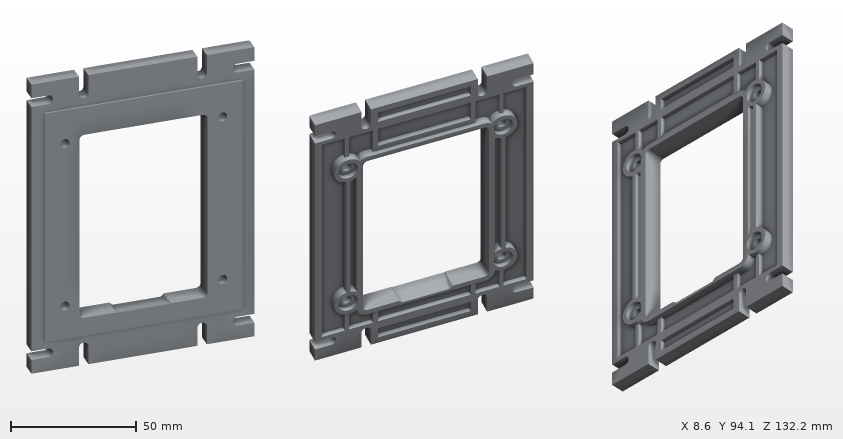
import cadquery as cq

plate_width = 94.1
plate_height = 132.19
plate_thickness = 6.0

raised_height = 1.8
back_pad_thickness = 0.8
back_pad_width = 83.5
back_pad_height = 104.5

window_half_width = 27.0
window_top = 39.6
window_bottom = -44.1
window_radius = 2.0

rim_side_width = 2.65
rim_end_width = 2.35
rim_radius = 4.4

boss_y = 33.3
boss_z = 37.15
boss_diameter = 12.1
counterbore_diameter = 8.3
counterbore_depth = 2.0
screw_hole_diameter = 4.0
bar_width = 1.75

slot_width = 4.0
side_slot_z = 57.85
side_slot_depth = 9.1
end_slot_y = 25.0
end_slot_depth = 10.2

pocket_depth = 2.0
panel_half_height = 54.0
panel_half_width = 44.0
center_panel_half_width = 20.0
center_panel_bottom = 44.55
divider_width = 2.1
label_inner_z = 58.0
label_outer_z = 63.1

relief_half_width = 11.65
relief_floor_half_width = 10.05
relief_depth = 1.25
relief_back_depth = 0.2

back_x = plate_thickness + back_pad_thickness
total_thickness = raised_height + back_x
rim_half_width = window_half_width + rim_side_width
rim_top = window_top + rim_end_width
rim_bottom = window_bottom - rim_end_width


def block(x_min, x_max, y_min, y_max, z_min, z_max):
    """Box given by its limits along the three axes."""
    size = (x_max - x_min, y_max - y_min, z_max - z_min)
    return cq.Workplane("XY").box(*size, centered=False).translate((x_min, y_min, z_min))


def rounded_block(x_min, x_max, half_width, z_min, z_max, radius):
    """Box centred on Y with its four edges along X rounded."""
    return block(x_min, x_max, -half_width, half_width, z_min, z_max).edges("|X").fillet(radius)


def boss_cylinders(diameter, x_min, x_max):
    """Cylinders along X at the four boss centres."""
    return (
        cq.Workplane("YZ", origin=(x_min, 0, 0))
        .rect(2 * boss_y, 2 * boss_z, forConstruction=True)
        .vertices()
        .circle(diameter / 2)
        .extrude(x_max - x_min)
    )


def bars(x_min, x_max, half_height):
    """Narrow upright bars running through the boss centres."""
    return (
        cq.Workplane("YZ", origin=(x_min, 0, 0))
        .pushPoints([(-boss_y, 0), (boss_y, 0)])
        .rect(bar_width, 2 * half_height)
        .extrude(x_max - x_min)
    )


def slot_cutters():
    """Round-ended slots opening through the side and end edges of the plate."""
    cutters = cq.Workplane("YZ")
    for y_sign in (-1, 1):
        for z_sign in (-1, 1):
            side_center = (y_sign * plate_width / 2, z_sign * side_slot_z)
            end_center = (y_sign * end_slot_y, z_sign * plate_height / 2)
            side = cq.Workplane("YZ").center(*side_center).slot2D(2 * side_slot_depth, slot_width)
            end = cq.Workplane("YZ").center(*end_center).slot2D(2 * end_slot_depth, slot_width, 90)
            cutters = cutters.add(side.extrude(plate_thickness)).add(end.extrude(plate_thickness))
    return cutters.combine()


def panel_pockets():
    """Recess over the panel field, less the walls left standing at plate level."""
    field = block(
        0, pocket_depth, -panel_half_width, panel_half_width, -panel_half_height, panel_half_height
    )
    divider_outer = center_panel_half_width + divider_width
    field = field.cut(bars(0, pocket_depth, panel_half_height))
    field = field.cut(boss_cylinders(boss_diameter, 0, pocket_depth))
    field = field.cut(rounded_block(0, pocket_depth, rim_half_width, rim_bottom, rim_top, rim_radius))
    for y_min in (-divider_outer, center_panel_half_width):
        y_max = y_min + divider_width
        field = field.cut(block(0, pocket_depth, y_min, y_max, -panel_half_height, panel_half_height))
    return field.cut(block(0, pocket_depth, -divider_outer, divider_outer, rim_top, center_panel_bottom))


def label_pockets():
    """Shallow rectangular recesses near the two ends."""
    half_width = center_panel_half_width
    upper = block(0, pocket_depth, -half_width, half_width, label_inner_z, label_outer_z)
    lower = block(0, pocket_depth, -half_width, half_width, -label_outer_z, -label_inner_z)
    return upper.union(lower)


def window_relief():
    """Trapezoidal relief, deepest at the front and shallow at the back."""
    floor_z = window_bottom - relief_depth
    trapezoid = (
        cq.Workplane("YZ", origin=(-raised_height, 0, 0))
        .moveTo(-relief_half_width, window_bottom)
        .lineTo(-relief_floor_half_width, floor_z)
        .lineTo(relief_floor_half_width, floor_z)
        .lineTo(relief_half_width, window_bottom)
        .close()
        .extrude(total_thickness)
    )
    ramp = (
        cq.Workplane("XZ")
        .moveTo(-raised_height, window_bottom)
        .lineTo(-raised_height, floor_z)
        .lineTo(back_x, window_bottom - relief_back_depth)
        .lineTo(back_x, window_bottom)
        .close()
        .extrude(relief_half_width, both=True)
    )
    return trapezoid.intersect(ramp)


plate = cq.Workplane("YZ").rect(plate_width, plate_height).extrude(plate_thickness)
plate = plate.cut(slot_cutters()).cut(panel_pockets()).cut(label_pockets())

back_pad = (
    cq.Workplane("YZ", origin=(plate_thickness, 0, 0))
    .rect(back_pad_width, back_pad_height)
    .extrude(back_pad_thickness)
)
rim = rounded_block(-raised_height, 0, rim_half_width, rim_bottom, rim_top, rim_radius)
body = (
    plate.union(back_pad)
    .union(rim)
    .union(boss_cylinders(boss_diameter, -raised_height, 0))
    .union(bars(-raised_height, 0, boss_z))
)

body = body.cut(
    rounded_block(-raised_height, back_x, window_half_width, window_bottom, window_top, window_radius)
)
body = body.cut(window_relief())
body = body.cut(boss_cylinders(counterbore_diameter, -raised_height, counterbore_depth - raised_height))
result = body.cut(boss_cylinders(screw_hole_diameter, -raised_height, back_x))